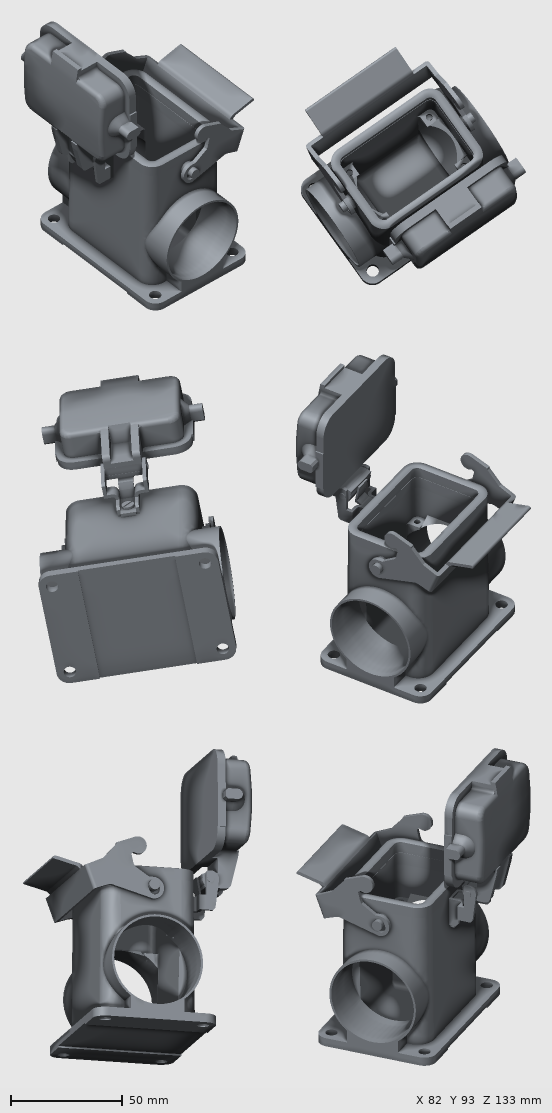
import cadquery as cq
import math

FLANGE_LENGTH = 82.0
FLANGE_WIDTH = 57.4
FLANGE_THICKNESS = 4.1
FLANGE_RADIUS = 5.8
FLANGE_HOLE_DIAMETER = 5.6
FLANGE_HOLE_SPACING_X = 69.9
FLANGE_HOLE_SPACING_Y = 45.7
GROOVE_WIDTH = 44.4
GROOVE_DEPTH = 0.8

BODY_LENGTH = 61.7
BODY_WIDTH = 44.4
BODY_RADIUS = 8.0
BODY_DRAFT = 0.6
COLLAR_BOTTOM = 68.0
BODY_TOP = 73.2
RIM_WIDTH = 4.1
RIM_CROWN = 0.5

TUBE_DIAMETER = 42.5
BORE_DIAMETER = 40.5
TUBE_HEIGHT = 27.3
PEDESTAL_WIDTH = 25.0

CAVITY_DRAFT = 1.3
MOUTH_BOTTOM = 67.9
MOUTH_STEP = 0.1
THROAT_BOTTOM = 62.1
SHELF_HEIGHT = 45.6
WELL_LENGTH = 37.5
WELL_RADIUS = 1.3
WELL_FLOOR = FLANGE_THICKNESS
WELL_FLOOR_ROUND = 2.8
PAD_GAP = 21.0
SLOPE_TOP = 48.3
SLOPE_BOTTOM = 43.7
PAD_HOLE_DIAMETER = 3.0
PAD_HOLE_DEPTH = 2.7
PAD_HOLE_SPACING_X = 43.9
PAD_HOLE_SPACING_Y = 27.4

PIVOT_HEIGHT = 63.7
PIVOT_DIAMETER = 4.8
PIVOT_SPAN = 72.6
PIVOT_BOSS_DIAMETER = 7.0
LEVER_WIDTH = 67.8
LEVER_THICKNESS = 2.0
ARM_END_RADIUS = 5.0
ARM_END_DROP = 1.0
LEVER_HOLE_RADIUS = 2.5
LEVER_SLOT_SHIFT = (-0.7, -1.6)
HOOK_CENTER = (7.0, 81.9)
HOOK_RADIUS = 4.0
BRIDGE_ROUND = 1.6
FLAP_WIDTH = 50.0
FLAP_ROUND = 1.0
FLAP_BEND = 2.7

RIM_BACK = -30.8
RIM_FRONT = -34.7
RIM_LENGTH = 61.7
RIM_BOTTOM = 84.8
RIM_TOP = 131.5
RIM_RADIUS = 8.4
SIDE_PAD_LENGTH = 63.0
SIDE_PAD_BOTTOM = 94.0
SIDE_PAD_TOP = 114.3
BOX_LENGTH = 55.0
BOX_BOTTOM = 88.7
BOX_TOP = 127.5
BOX_RADIUS = 5.3
BOX_ROUND = 2.4
COVER_FRONT = -48.5
COVER_CROWN = 2.4
COVER_TOP = 133.0
TAB_WIDTH = 17.3
TAB_FILLET = 1.6
WEB_DEPTH = 11.2
LIP_BACK = -43.9
SLOT_WIDTH = 10.1
SLOT_TOP = 91.3
SLOT_SLOPE = 3.7
SLOT_FLOOR = -39.4
ARM_TOP = 89.1
ARM_BACK = -37.2
ARM_BOTTOM = 71.0
STUD_HEIGHT = 108.1
STUD_SPAN = 73.4
STUD_BACK = -33.1
STUD_CENTER = -38.7
STUD_CHAMFER = 1.0
CONE_RADIUS = 5.8

HINGE_Y = -33.4
HINGE_Z = 74.6
HINGE_PIN_DIAMETER = 3.0
HINGE_PIN_SPAN = 21.5
EAR_RADIUS = 4.0
KNUCKLE_RADIUS = 3.3
EAR_SPAN = 20.6
EAR_BOTTOM = 60.2
BRACKET_TOP = 67.1
SADDLE_WIDTH = 10.2
SADDLE_BACK = -21.1
SADDLE_BOTTOM = 53.8
SADDLE_FRONT = -26.6
WING_BACK = -28.2
SHEET = 1.6
SADDLE_ROUND = 1.3
WING_BEND = 1.3
STRIP_WIDTH = 6.9
STRIP_THICKNESS = 1.0
STRIP_BOTTOM = 52.1
SCREW_DIAMETER = 5.6
SCREW_HEIGHT = 57.5
SCREW_HEAD = 1.3
SCREW_SLOT_WIDTH = 0.8
SCREW_SLOT_DEPTH = 0.5


def box(x0, x1, y0, y1, z0, z1):
    return cq.Workplane("XY").box(x1 - x0, y1 - y0, z1 - z0, centered=False).translate((x0, y0, z0))


def centered_box(width, y0, y1, z0, z1):
    """Box that is symmetric about x = 0."""
    return box(-width / 2, width / 2, y0, y1, z0, z1)


def plate_x(profile, x0, x1):
    """Extrude a (y, z) sketch drawn on the YZ plane from x0 to x1."""
    return profile.extrude(x1 - x0).translate((x0, 0, 0))


def rod_x(diameter, length, y, z):
    return plate_x(cq.Workplane("YZ").center(y, z).circle(diameter / 2), -length / 2, length / 2)


def side(solid):
    return solid.union(solid.mirror("YZ"))


def flange():
    plate = cq.Workplane("XY").rect(FLANGE_LENGTH, FLANGE_WIDTH).extrude(FLANGE_THICKNESS)
    plate = plate.edges("|Z").fillet(FLANGE_RADIUS)
    holes = (
        cq.Workplane("XY")
        .rect(FLANGE_HOLE_SPACING_X, FLANGE_HOLE_SPACING_Y, forConstruction=True)
        .vertices()
        .circle(FLANGE_HOLE_DIAMETER / 2)
        .extrude(FLANGE_THICKNESS)
    )
    groove = centered_box(GROOVE_WIDTH, -FLANGE_WIDTH / 2, FLANGE_WIDTH / 2, 0, GROOVE_DEPTH)
    return plate.cut(holes).cut(groove)


BODY_SHRINK = math.tan(math.radians(BODY_DRAFT)) * (COLLAR_BOTTOM - FLANGE_THICKNESS)
COLLAR_LENGTH = BODY_LENGTH - 2 * BODY_SHRINK
COLLAR_WIDTH = BODY_WIDTH - 2 * BODY_SHRINK
COLLAR_RADIUS = BODY_RADIUS - BODY_SHRINK


def rounded_prism(length, width, radius, z0, z1, taper=0):
    outline = cq.Sketch().rect(length, width).vertices().fillet(radius)
    return cq.Workplane("XY").workplane(offset=z0).placeSketch(outline).extrude(z1 - z0, taper=taper)


def rim_crown():
    """Shallow arched bead that runs around the top of the collar."""
    half_x = (COLLAR_LENGTH - RIM_WIDTH) / 2
    half_y = (COLLAR_WIDTH - RIM_WIDTH) / 2
    radius = COLLAR_RADIUS - RIM_WIDTH / 2
    path = (
        cq.Workplane("XY")
        .workplane(offset=BODY_TOP)
        .moveTo(half_x, 0)
        .lineTo(half_x, half_y - radius)
        .tangentArcPoint((-radius, radius))
        .lineTo(radius - half_x, half_y)
        .tangentArcPoint((-radius, -radius))
        .lineTo(-half_x, radius - half_y)
        .tangentArcPoint((radius, -radius))
        .lineTo(half_x - radius, -half_y)
        .tangentArcPoint((radius, radius))
        .close()
    )
    bead = (
        cq.Workplane("XZ")
        .moveTo(half_x - RIM_WIDTH / 2, BODY_TOP)
        .threePointArc((half_x, BODY_TOP + RIM_CROWN), (half_x + RIM_WIDTH / 2, BODY_TOP))
        .close()
    )
    return bead.sweep(path)


def tower():
    """Drafted body that carries a straight collar at its top."""
    body = rounded_prism(BODY_LENGTH, BODY_WIDTH, BODY_RADIUS, FLANGE_THICKNESS, COLLAR_BOTTOM, BODY_DRAFT)
    collar = rounded_prism(COLLAR_LENGTH, COLLAR_WIDTH, COLLAR_RADIUS, COLLAR_BOTTOM, BODY_TOP)
    return body.union(collar)


def opening():
    """Stepped mouth that narrows down to the shelf with the screw pads."""
    length = COLLAR_LENGTH - 2 * RIM_WIDTH
    width = COLLAR_WIDTH - 2 * RIM_WIDTH
    radius = COLLAR_RADIUS - RIM_WIDTH
    mouth = rounded_prism(length, width, radius, MOUTH_BOTTOM, BODY_TOP)
    length -= 2 * MOUTH_STEP
    width -= 2 * MOUTH_STEP
    throat = rounded_prism(length, width, radius, THROAT_BOTTOM, MOUTH_BOTTOM)
    funnel = rounded_prism(length, width, radius, THROAT_BOTTOM, SHELF_HEIGHT, CAVITY_DRAFT)
    shrink = math.tan(math.radians(CAVITY_DRAFT)) * (THROAT_BOTTOM - SHELF_HEIGHT)
    shelf_length = length - 2 * shrink
    shelf_width = width - 2 * shrink
    return mouth.union(throat).union(funnel), shelf_length, shelf_width


def ramps(shelf_length):
    """Space over the two ramps that slope down between the screw pads."""
    half_shelf = shelf_length / 2
    half_well = WELL_LENGTH / 2
    outline = [
        (-half_shelf, SLOPE_TOP),
        (-half_well, SLOPE_BOTTOM),
        (half_well, SLOPE_BOTTOM),
        (half_shelf, SLOPE_TOP),
    ]
    return cq.Workplane("XZ").polyline(outline).close().extrude(PAD_GAP / 2, both=True)


def cavity():
    mouth, shelf_length, shelf_width = opening()
    half_gap = PAD_GAP / 2
    ramp_block = centered_box(2 * shelf_length, -half_gap, half_gap, SHELF_HEIGHT, SLOPE_TOP)
    well = rounded_prism(WELL_LENGTH, shelf_width, WELL_RADIUS, SHELF_HEIGHT, WELL_FLOOR, CAVITY_DRAFT)
    well = well.faces("<Z").edges().fillet(WELL_FLOOR_ROUND)
    pad_holes = (
        cq.Workplane("XY")
        .workplane(offset=SHELF_HEIGHT)
        .rect(PAD_HOLE_SPACING_X, PAD_HOLE_SPACING_Y, forConstruction=True)
        .vertices()
        .circle(PAD_HOLE_DIAMETER / 2)
        .extrude(-PAD_HOLE_DEPTH)
    )
    return mouth.cut(ramp_block).union(ramps(shelf_length)).union(well).union(pad_holes)


def cable_bore():
    """Bore of one tube, from its open end into the well."""
    well_shrink = math.tan(math.radians(CAVITY_DRAFT)) * (SHELF_HEIGHT - WELL_FLOOR)
    start = WELL_LENGTH / 2 - well_shrink
    circle = cq.Workplane("YZ").center(0, TUBE_HEIGHT).circle(BORE_DIAMETER / 2)
    return plate_x(circle, start, FLANGE_LENGTH / 2)


def pivots():
    """Bosses and pins that carry the locking lever on both sides."""
    arm_gap = LEVER_WIDTH - 2 * LEVER_THICKNESS
    boss = rod_x(PIVOT_BOSS_DIAMETER, arm_gap, 0, PIVOT_HEIGHT)
    return boss.union(rod_x(PIVOT_DIAMETER, PIVOT_SPAN, 0, PIVOT_HEIGHT))


def make_housing():
    tube = rod_x(TUBE_DIAMETER, FLANGE_LENGTH, 0, TUBE_HEIGHT)
    pedestal = centered_box(
        FLANGE_LENGTH, -PEDESTAL_WIDTH / 2, PEDESTAL_WIDTH / 2, FLANGE_THICKNESS, TUBE_HEIGHT
    )
    outside = flange().union(tower()).union(tube).union(pedestal).union(pivots())
    return outside.cut(side(cable_bore())).cut(cavity()).union(rim_crown())


def lever_arm():
    """Side arm with a hook at its top and a slot for the pivot pin."""
    end_z = PIVOT_HEIGHT - ARM_END_DROP
    hook_y, hook_z = HOOK_CENTER
    outline = (
        cq.Workplane("YZ")
        .moveTo(29.9, 72.0)
        .lineTo(23.4, 75.0)
        .lineTo(17.3, 81.8)
        .lineTo(17.1, 82.5)
        .lineTo(8.8, 85.6)
        .threePointArc((hook_y - HOOK_RADIUS, hook_z), (hook_y, hook_z - HOOK_RADIUS))
        .lineTo(9.3, 78.6)
        .lineTo(10.2, 77.6)
        .lineTo(9.3, 73.6)
        .lineTo(8.6, 72.0)
        .lineTo(2.0, end_z + ARM_END_RADIUS)
        .lineTo(0, end_z + ARM_END_RADIUS)
        .threePointArc((-ARM_END_RADIUS, end_z), (0, end_z - ARM_END_RADIUS))
        .lineTo(19.5, 63.0)
        .lineTo(21.1, 62.7)
        .lineTo(25.8, 61.2)
        .close()
    )
    half = LEVER_WIDTH / 2
    arm = plate_x(outline, half - LEVER_THICKNESS, half)
    slot_y, slot_z = LEVER_SLOT_SHIFT
    slot_length = math.hypot(slot_y, slot_z)
    slot = (
        cq.Workplane("YZ")
        .center(slot_y / 2, PIVOT_HEIGHT + slot_z / 2)
        .slot2D(slot_length + 2 * LEVER_HOLE_RADIUS, 2 * LEVER_HOLE_RADIUS,
                math.degrees(math.atan2(slot_z, slot_y)))
        .extrude(LEVER_WIDTH)
    )
    return arm.cut(slot)


def lever_bridge():
    """Tilted bar that joins the two arms."""
    inner_top, inner_bottom = (29.9, 72.0), (25.8, 61.2)
    outer_bottom, outer_top = (27.7, 60.4), (31.8, 71.4)
    outline = cq.Workplane("YZ").polyline([inner_top, inner_bottom, outer_bottom, outer_top]).close()
    bar = plate_x(outline, -LEVER_WIDTH / 2, LEVER_WIDTH / 2)
    along_bar = cq.Vector(0, outer_top[0] - outer_bottom[0], outer_top[1] - outer_bottom[1])
    corners = bar.edges(cq.selectors.ParallelDirSelector(along_bar, 0.1)).edges(">Y")
    return corners.fillet(BRIDGE_ROUND)


def lever_flap():
    """Thumb flap that leans outward from the top of the bridge."""
    outline = cq.Workplane("YZ").polyline(
        [(29.9, 72.0), (31.8, 71.4), (33.4, 72.7), (44.4, 75.5), (44.8, 77.2), (31.2, 73.8)]
    ).close()
    flap = plate_x(outline, -FLAP_WIDTH / 2, FLAP_WIDTH / 2)
    flap = flap.edges("|X and >Z").fillet(FLAP_ROUND)
    bend = cq.selectors.NearestToPointSelector((0, 31.2, 73.8))
    return flap.edges("|X").edges(bend).fillet(FLAP_BEND)


def make_lever():
    return side(lever_arm()).union(lever_bridge()).union(lever_flap())


def rounded_block(length, radius, z0, z1, y_back, y_front):
    block = centered_box(length, y_front, y_back, z0, z1)
    return block.edges("|Y").fillet(radius)


def cover_front(z):
    """Y position of the arched front face at height z."""
    middle = (BOX_TOP + BOX_BOTTOM) / 2
    half = COVER_TOP - middle
    arch_radius = (half**2 + COVER_CROWN**2) / (2 * COVER_CROWN)
    return COVER_FRONT + arch_radius - math.sqrt(arch_radius**2 - (z - middle) ** 2)


def crowned_profile(z0, z1, y_back):
    """Side outline between two heights with the arched front face of the cover."""
    middle = (z0 + z1) / 2
    return (
        cq.Workplane("YZ")
        .moveTo(y_back, z0)
        .lineTo(cover_front(z0), z0)
        .threePointArc((cover_front(middle), middle), (cover_front(z1), z1))
        .lineTo(y_back, z1)
        .close()
    )


def cover_shell():
    rim = rounded_block(RIM_LENGTH, RIM_RADIUS, RIM_BOTTOM, RIM_TOP, RIM_BACK, RIM_FRONT)
    pads = centered_box(SIDE_PAD_LENGTH, RIM_FRONT, RIM_BACK, SIDE_PAD_BOTTOM, SIDE_PAD_TOP)
    dome = plate_x(crowned_profile(BOX_BOTTOM, BOX_TOP, RIM_FRONT), -BOX_LENGTH / 2, BOX_LENGTH / 2)
    dome = dome.edges("|Y").fillet(BOX_RADIUS)
    dome = dome.faces("<Y").edges().fillet(BOX_ROUND)
    return rim.union(pads).union(dome)


def cover_tab():
    """Central tab on the top edge, with a raised lip at its front."""
    half = TAB_WIDTH / 2
    tab = plate_x(crowned_profile(STUD_HEIGHT, RIM_TOP, RIM_BACK), -half, half)
    lip = plate_x(crowned_profile(STUD_HEIGHT, COVER_TOP, LIP_BACK), -half, half)
    return tab.union(lip)


def corner_web(z, direction):
    """Concave web between the dome edge at height z and the central strip."""
    half = TAB_WIDTH / 2
    middle = TAB_FILLET * (1 - math.sqrt(0.5))
    web = (
        cq.Workplane("XZ")
        .moveTo(half, z - direction * TAB_FILLET)
        .lineTo(half, z + direction * TAB_FILLET)
        .threePointArc((half + middle, z + direction * middle), (half + TAB_FILLET, z))
        .close()
        .extrude(WEB_DEPTH)
    )
    return side(web.translate((0, RIM_FRONT, 0)))


def cover_arms():
    """Hinge arms below the cover, with the knuckle that turns on the pin."""
    outline = (
        cq.Workplane("YZ")
        .moveTo(RIM_FRONT, ARM_TOP)
        .lineTo(cover_front(ARM_TOP), ARM_TOP)
        .threePointArc((cover_front(87.2), 87.2), (cover_front(85.2), 85.2))
        .lineTo(-43.6, 73.5)
        .threePointArc((-42.5, 71.7), (-40.7, ARM_BOTTOM))
        .lineTo(ARM_BACK, ARM_BOTTOM)
        .lineTo(ARM_BACK, RIM_BOTTOM)
        .lineTo(RIM_FRONT, RIM_BOTTOM)
        .close()
    )
    arms = plate_x(outline, -TAB_WIDTH / 2, TAB_WIDTH / 2)
    slot = (
        cq.Workplane("YZ")
        .polyline([(COVER_FRONT, SLOT_TOP), (SLOT_FLOOR, SLOT_TOP - SLOT_SLOPE),
                   (SLOT_FLOOR, ARM_BOTTOM), (COVER_FRONT, ARM_BOTTOM)])
        .close()
    )
    knuckle = rod_x(2 * KNUCKLE_RADIUS, TAB_WIDTH, HINGE_Y, HINGE_Z)
    neck = centered_box(TAB_WIDTH, ARM_BACK, HINGE_Y, HINGE_Z - KNUCKLE_RADIUS, HINGE_Z + KNUCKLE_RADIUS)
    cam = cq.Workplane("YZ").polyline([(-29.8, 77.1), (-31.8, 77.8), (-33.2, 71.0), (-31.2, 71.0)]).close()
    arms = arms.union(neck).union(knuckle).union(plate_x(cam, -TAB_WIDTH / 2, TAB_WIDTH / 2))
    pocket = plate_x(slot, -SLOT_WIDTH / 2, SLOT_WIDTH / 2)
    return arms, pocket


def cover_stud():
    """Locking stud on one side of the cover, on a tapered base."""
    radius = PIVOT_DIAMETER / 2
    outline = (
        cq.Workplane("YZ")
        .moveTo(STUD_BACK - STUD_CHAMFER, STUD_HEIGHT - radius)
        .lineTo(STUD_CENTER, STUD_HEIGHT - radius)
        .threePointArc((STUD_CENTER - radius, STUD_HEIGHT), (STUD_CENTER, STUD_HEIGHT + radius))
        .lineTo(STUD_BACK - STUD_CHAMFER, STUD_HEIGHT + radius)
        .lineTo(STUD_BACK, STUD_HEIGHT + radius - STUD_CHAMFER)
        .lineTo(STUD_BACK, STUD_HEIGHT - radius + STUD_CHAMFER)
        .close()
    )
    stud = plate_x(outline, BOX_LENGTH / 2, STUD_SPAN / 2)

    def base_section(x, size):
        return (
            cq.Workplane("YZ")
            .workplane(offset=x)
            .moveTo(RIM_BACK, STUD_HEIGHT - size)
            .lineTo(STUD_CENTER, STUD_HEIGHT - size)
            .threePointArc((STUD_CENTER - size, STUD_HEIGHT), (STUD_CENTER, STUD_HEIGHT + size))
            .lineTo(RIM_BACK, STUD_HEIGHT + size)
            .close()
            .wires()
            .val()
        )

    wide = base_section(BOX_LENGTH / 2, CONE_RADIUS)
    narrow = base_section(RIM_LENGTH / 2, radius)
    base = cq.Workplane(cq.Solid.makeLoft([wide, narrow], True))
    return stud.union(base)


def make_cover():
    arms, pocket = cover_arms()
    cover = cover_shell().union(cover_tab()).union(arms)
    cover = cover.union(corner_web(BOX_TOP, 1)).union(corner_web(BOX_BOTTOM, -1)).cut(pocket)
    cover = cover.union(side(cover_stud()))
    return cover.cut(rod_x(HINGE_PIN_DIAMETER, TAB_WIDTH, HINGE_Y, HINGE_Z))


def bracket_sheet():
    """Hat-shaped sheet: a saddle against the housing and two wings."""
    inner = SADDLE_WIDTH / 2 - SHEET
    outline = [
        (SADDLE_WIDTH / 2, SADDLE_BACK),
        (SADDLE_WIDTH / 2, WING_BACK),
        (EAR_SPAN / 2, WING_BACK),
        (EAR_SPAN / 2, WING_BACK - SHEET),
        (inner, WING_BACK - SHEET),
        (inner, SADDLE_BACK - SHEET),
    ]
    mirrored = [(-x, y) for x, y in reversed(outline)]
    sheet = cq.Workplane("XY").workplane(offset=EAR_BOTTOM).polyline(outline + mirrored).close()
    sheet = sheet.extrude(BRACKET_TOP - EAR_BOTTOM)
    sheet = sheet.edges("|Z and >Y").fillet(SADDLE_ROUND)
    outer_bends = [(sign * SADDLE_WIDTH / 2, WING_BACK) for sign in (-1, 1)]
    inner_bends = [(sign * inner, WING_BACK - SHEET) for sign in (-1, 1)]
    for bends, radius in ((outer_bends, WING_BEND), (inner_bends, WING_BEND + SHEET)):
        for x, y in bends:
            bend = cq.selectors.NearestToPointSelector((x, y, (EAR_BOTTOM + BRACKET_TOP) / 2))
            sheet = sheet.edges("|Z").edges(bend).fillet(radius)
    return sheet


def bracket_foot():
    """Lower part of the saddle, down past the screw."""
    foot = centered_box(SADDLE_WIDTH, SADDLE_FRONT, SADDLE_BACK, SADDLE_BOTTOM, EAR_BOTTOM)
    foot = foot.edges("<Y and <Z").chamfer(SHEET)
    foot = foot.edges("|Z and >Y").fillet(SADDLE_ROUND)
    inside = centered_box(
        SADDLE_WIDTH - 2 * SHEET, SADDLE_FRONT, SADDLE_BACK - SHEET, SADDLE_BOTTOM, EAR_BOTTOM
    )
    return foot.cut(inside)


def bracket_ear():
    """Ear that holds one end of the hinge pin."""
    outline = (
        cq.Workplane("YZ")
        .moveTo(WING_BACK, EAR_BOTTOM)
        .lineTo(-34.5, EAR_BOTTOM)
        .lineTo(-35.6, EAR_BOTTOM + 1.0)
        .lineTo(HINGE_Y - EAR_RADIUS, HINGE_Z)
        .threePointArc((HINGE_Y, HINGE_Z + EAR_RADIUS), (-31.5, HINGE_Z + EAR_RADIUS - 0.5))
        .lineTo(-31.5, BRACKET_TOP)
        .lineTo(WING_BACK, BRACKET_TOP)
        .close()
    )
    return plate_x(outline, TAB_WIDTH / 2, EAR_SPAN / 2)


def spring_strip():
    """Strip that rests in the saddle, steps forward over it and rises to the knuckle."""
    back = SADDLE_BACK - SHEET
    front = back - STRIP_THICKNESS
    outline = (
        cq.Workplane("YZ")
        .moveTo(SADDLE_BACK - 0.7, STRIP_BOTTOM)
        .lineTo(front, STRIP_BOTTOM)
        .lineTo(front, 65.1)
        .lineTo(-27.8, 66.2)
        .lineTo(-31.0, 67.4)
        .lineTo(-31.0, 68.6)
        .lineTo(-29.5, 76.6)
        .lineTo(-28.6, 76.7)
        .lineTo(-30.0, 68.7)
        .lineTo(-27.8, 67.3)
        .lineTo(back, 66.5)
        .lineTo(back, SADDLE_BOTTOM)
        .lineTo(SADDLE_BACK - 0.7, SADDLE_BOTTOM)
        .close()
    )
    return plate_x(outline, -STRIP_WIDTH / 2, STRIP_WIDTH / 2)


def bracket_screw():
    seat = SADDLE_BACK - SHEET - STRIP_THICKNESS
    head = cq.Workplane("XZ").center(0, SCREW_HEIGHT).circle(SCREW_DIAMETER / 2).extrude(SCREW_HEAD)
    head = head.translate((0, seat, 0))
    slot = cq.Workplane("XY").box(SCREW_DIAMETER, SCREW_SLOT_DEPTH, SCREW_SLOT_WIDTH)
    slot = slot.rotate((0, 0, 0), (0, 1, 0), -45)
    slot = slot.translate((0, seat - SCREW_HEAD + SCREW_SLOT_DEPTH / 2, SCREW_HEIGHT))
    return head.cut(slot)


def make_bracket(housing):
    bracket = bracket_sheet().union(bracket_foot()).union(side(bracket_ear()))
    bracket = bracket.union(spring_strip()).union(bracket_screw())
    bracket = bracket.union(rod_x(HINGE_PIN_DIAMETER, HINGE_PIN_SPAN, HINGE_Y, HINGE_Z))
    return bracket.cut(housing)


housing = make_housing()
lever = make_lever()
cover = make_cover()
bracket = make_bracket(housing)

result = cq.Compound.makeCompound([housing.val(), lever.val(), cover.val(), bracket.val()])